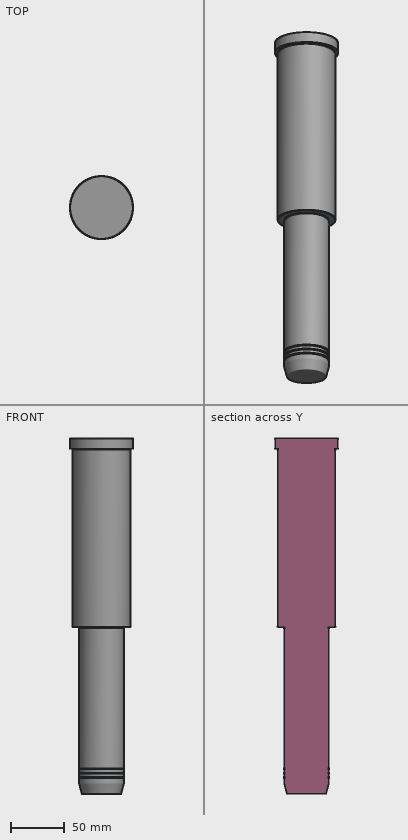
import cadquery as cq
import math

head_diameter = 59.0
sleeve_diameter = 54.0
pin_diameter = 42.0
groove_diameter = 41.0

total_length = 331.0
head_height = 10.0
sleeve_length = 166.0
tip_height = 10.0

tip_angle = 15.0

head_chamfer = 0.5
sleeve_chamfer = 0.5
tip_fillet = 0.5

relief_depth = 0.5
relief_width = 1.0

groove_count = 3
groove_width = 1.0
groove_pitch = 4.0
tip_to_groove = 5.0

tip_diameter = pin_diameter - 2 * tip_height * math.tan(math.radians(tip_angle))

head_bottom = total_length - head_height
sleeve_bottom = head_bottom - sleeve_length


def make_head():
    """Flat cylindrical head with its top edge broken."""
    base = cq.Workplane("XY").workplane(offset=head_bottom)
    head = base.circle(head_diameter / 2).extrude(head_height)
    return head.faces(">Z").edges().chamfer(head_chamfer)


def make_sleeve():
    """Thick cylinder under the head with its lower edge broken."""
    base = cq.Workplane("XY").workplane(offset=sleeve_bottom)
    sleeve = base.circle(sleeve_diameter / 2).extrude(sleeve_length)
    return sleeve.faces("<Z").edges().chamfer(sleeve_chamfer)


def make_pin():
    """Slim cylinder that tapers to a flat tip with a rounded rim."""
    pin_profile = (
        cq.Workplane("XZ")
        .lineTo(tip_diameter / 2, 0)
        .lineTo(pin_diameter / 2, tip_height)
        .lineTo(pin_diameter / 2, sleeve_bottom)
        .lineTo(0, sleeve_bottom)
        .close()
    )
    pin = pin_profile.revolve(axisStart=(0, 0, 0), axisEnd=(0, 1, 0))
    return pin.faces("<Z").edges().fillet(tip_fillet)


def make_ring(outer_diameter, inner_diameter, bottom, width):
    """Ring of material removed by a groove or a relief."""
    return (
        cq.Workplane("XY")
        .workplane(offset=bottom)
        .circle(outer_diameter / 2)
        .circle(inner_diameter / 2)
        .extrude(width)
    )


def make_relief(diameter, shoulder_height):
    """Ring removed from a cylinder right below a shoulder."""
    return make_ring(diameter, diameter - 2 * relief_depth, shoulder_height - relief_width, relief_width)


result = make_head().union(make_sleeve()).union(make_pin())
result = result.cut(make_relief(sleeve_diameter, head_bottom))
result = result.cut(make_relief(pin_diameter, sleeve_bottom))
for index in range(groove_count):
    groove_bottom = tip_height + tip_to_groove + index * groove_pitch
    result = result.cut(make_ring(pin_diameter, groove_diameter, groove_bottom, groove_width))